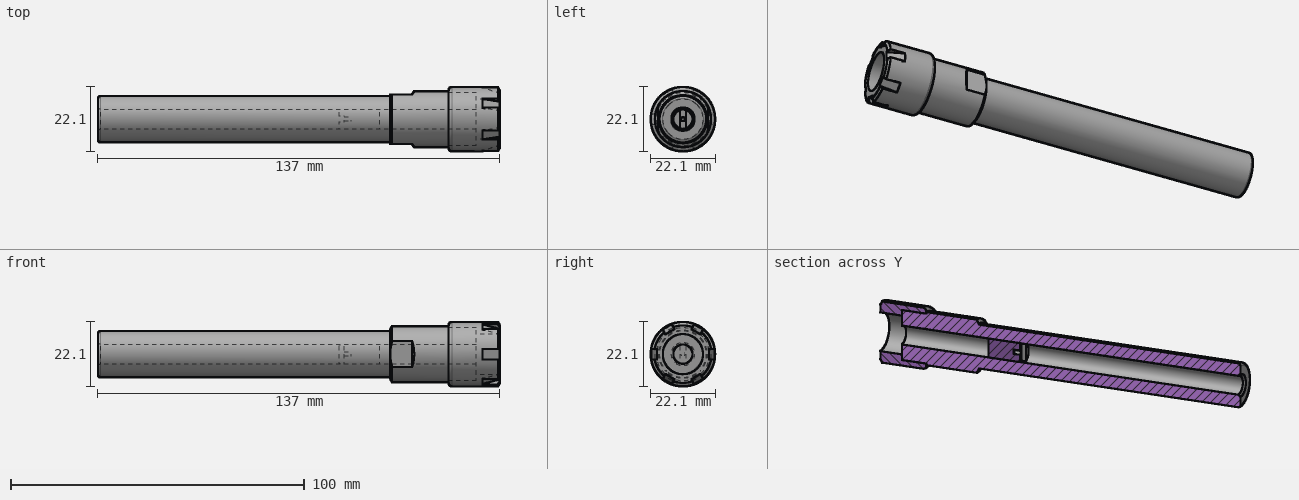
import cadquery as cq

total_length = 137.0
collar_start = 99.5
nut_start = 119.5
nose_end = 128.8

shank_radius = 8.0
shank_end_round = 1.0
collar_radius = 9.6
collar_bevel_length = 0.8
collar_bevel_depth = 1.4
nose_radius = 9.0
bore_radius = 3.3
bore_mouth_radius = 4.0
bore_mouth_length = 0.8

flat_distance = 8.5
flat_end = 107.0
flat_runout = 0.8

nut_radius = 11.03
nut_rear_round = 1.2
nut_front_bevel_length = 1.2
nut_front_bevel_depth = 0.7
nut_opening_radius = 6.8
nut_slot_count = 6
nut_slot_width = 3.5
nut_slot_start = 131.0
nut_slot_start_depth = 0.3
nut_slot_end_depth = 2.2

screw_start = 82.2
screw_length = 13.7
screw_slot_width = 2.0
screw_slot_depth = 1.6
screw_hole_radius = 0.7
screw_hole_depth = 4.1


def cylinder(start, end, radius):
    """Solid cylinder along X between two stations."""
    return cq.Workplane("YZ", origin=(start, 0, 0)).circle(radius).extrude(end - start)


def flat_cutter():
    """Block outside the +Y flat, with a sloping run-out at its front end."""
    reach = collar_radius + 1.4
    slope = flat_runout / (collar_radius - flat_distance)
    runout_end = flat_end + slope * (reach - flat_distance)
    outline = [
        (collar_start, flat_distance),
        (flat_end, flat_distance),
        (runout_end, reach),
        (collar_start, reach),
    ]
    return cq.Workplane("XY").polyline(outline).close().extrude(collar_radius, both=True)


def make_holder():
    shank = cylinder(0, collar_start, shank_radius).faces("<X").edges().fillet(shank_end_round)
    bevel_end = collar_start + collar_bevel_length
    collar_outline = [
        (collar_start, 0),
        (collar_start, collar_radius - collar_bevel_depth),
        (bevel_end, collar_radius),
        (nut_start, collar_radius),
        (nut_start, nose_radius),
        (nose_end, nose_radius),
        (nose_end, 0),
    ]
    collar = cq.Workplane("XY").polyline(collar_outline).close().revolve(360, (0, 0, 0), (1, 0, 0))
    holder = shank.union(collar)

    flat = flat_cutter()
    holder = holder.cut(flat).cut(flat.mirror("XZ"))

    bore_outline = [
        (0, 0),
        (0, bore_mouth_radius),
        (bore_mouth_length, bore_radius),
        (nose_end, bore_radius),
        (nose_end, 0),
    ]
    bore = cq.Workplane("XY").polyline(bore_outline).close().revolve(360, (0, 0, 0), (1, 0, 0))
    return holder.cut(bore)


def nut_slot_cutter():
    """Wedge on the +Y side whose floor deepens towards the front face."""
    reach = nut_radius + 1.4
    outline = [
        (nut_slot_start, nut_radius - nut_slot_start_depth),
        (total_length, nut_radius - nut_slot_end_depth),
        (total_length, reach),
        (nut_slot_start, reach),
    ]
    return cq.Workplane("XY").polyline(outline).close().extrude(nut_slot_width / 2, both=True)


def make_nut():
    nut = cylinder(nut_start, total_length, nut_radius)
    nut = nut.faces("<X").edges().fillet(nut_rear_round)
    nut = nut.faces(">X").edges().chamfer(nut_front_bevel_depth, nut_front_bevel_length)
    nut = nut.cut(cylinder(nut_start, nose_end, nose_radius))
    nut = nut.cut(cylinder(nose_end, total_length, nut_opening_radius))

    slot = nut_slot_cutter()
    for index in range(nut_slot_count):
        angle = index * 360 / nut_slot_count
        nut = nut.cut(slot.rotate((0, 0, 0), (1, 0, 0), angle))
    return nut


def make_stop_screw():
    screw_end = screw_start + screw_length
    screw = cylinder(screw_start, screw_end, bore_radius)
    slot = cq.Workplane("XY").box(screw_slot_depth, screw_slot_width, 2 * bore_radius)
    slot = slot.translate((screw_start + screw_slot_depth / 2, 0, 0))
    hole = cylinder(screw_start, screw_start + screw_hole_depth, screw_hole_radius)
    return screw.cut(slot).cut(hole)


holder = make_holder()
nut = make_nut()
stop_screw = make_stop_screw()

result = cq.Compound.makeCompound([holder.val(), nut.val(), stop_screw.val()])